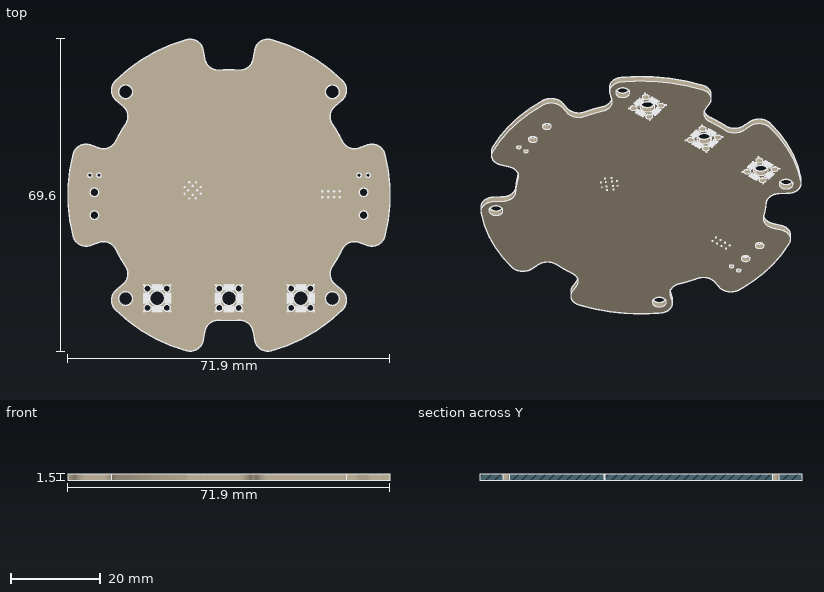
import cadquery as cq
import math

BOARD_RADIUS = 35.95
BOARD_THICKNESS = 1.5
NOTCH_COUNT = 6
NOTCH_FLOOR_RADIUS = 28.0
NOTCH_HALF_ANGLE = 10.0
NOTCH_CORNER_RADIUS = 3.0

MOUNT_HOLE_DIAMETER = 3.0
MOUNT_HOLE_OFFSET = 23.0

CONNECTOR_X = 30.0
PIN_HOLE_DIAMETER = 1.9
PIN_HOLES_Y = (0.65, -4.45)
SMALL_PIN_HOLE_DIAMETER = 0.9
SMALL_PIN_HOLE_SPACING = 2.0
SMALL_PIN_HOLES_Y = 4.45

FOOTPRINT_SPACING = 16.0
FOOTPRINT_Y = -22.95
CENTRE_HOLE_DIAMETER = 3.2
CORNER_HOLE_DIAMETER = 1.5
CORNER_HOLE_OFFSET = 2.15
FIELD_VIA_DIAMETER = 0.2
FIELD_VIA_PITCH = 0.495
FIELD_HALF_WIDTH = 2.95
FIELD_ROW_SPACING = 0.25
FIELD_ROW_COUNTS = (5, 4, 5, 4, 5)

RING_CENTRE = (-8.1, 1.1)
RING_VIA_DIAMETER = 0.2
OUTER_RING_RADIUS = 1.95
OUTER_RING_COUNT = 8
INNER_RING_RADIUS = 1.0
INNER_RING_COUNT = 4

GRID_CENTRE = (22.75, 0.2)
GRID_VIA_DIAMETER = 0.25
GRID_VIA_PITCH = 1.3
GRID_COLUMNS = 4
GRID_ROWS = 2


def polar(radius, angle):
    """Point at a radius and an angle in degrees."""
    return (radius * math.cos(math.radians(angle)), radius * math.sin(math.radians(angle)))


def notched_board():
    """Disc with evenly spaced, rounded notches whose side walls are radial."""
    pitch = 360 / NOTCH_COUNT
    first_notch = pitch / 2
    outline = cq.Workplane("XY").moveTo(*polar(NOTCH_FLOOR_RADIUS, first_notch - NOTCH_HALF_ANGLE))
    for index in range(NOTCH_COUNT):
        notch = first_notch + index * pitch
        notch_end = notch + NOTCH_HALF_ANGLE
        lobe = notch + pitch / 2
        lobe_end = notch + pitch - NOTCH_HALF_ANGLE
        outline = (
            outline
            .threePointArc(polar(NOTCH_FLOOR_RADIUS, notch), polar(NOTCH_FLOOR_RADIUS, notch_end))
            .lineTo(*polar(BOARD_RADIUS, notch_end))
            .threePointArc(polar(BOARD_RADIUS, lobe), polar(BOARD_RADIUS, lobe_end))
            .lineTo(*polar(NOTCH_FLOOR_RADIUS, lobe_end))
        )
    board = outline.close().extrude(BOARD_THICKNESS)
    return board.edges("|Z").fillet(NOTCH_CORNER_RADIUS)


def drills(points, diameter):
    """Cylinders that pass through the whole board at the given points."""
    return cq.Workplane("XY").pushPoints(points).circle(diameter / 2).extrude(BOARD_THICKNESS)


def square_corners(offset):
    """Corners of a square centred on the origin."""
    return [(x, y) for x in (-offset, offset) for y in (-offset, offset)]


def shifted(points, centre):
    """Points moved from the origin to a new centre."""
    return [(x + centre[0], y + centre[1]) for x, y in points]


def ring(radius, count, first_angle):
    """Evenly spaced points on a circle."""
    return [polar(radius, first_angle + index * 360 / count) for index in range(count)]


def field_vias():
    """Staggered rows of vias along each side of the footprint, and one via at each corner."""
    vias = square_corners(FIELD_HALF_WIDTH)
    for row, count in enumerate(FIELD_ROW_COUNTS):
        distance = FIELD_HALF_WIDTH - row * FIELD_ROW_SPACING
        for index in range(count):
            along = (index - (count - 1) / 2) * FIELD_VIA_PITCH
            vias += [(along, distance), (along, -distance), (distance, along), (-distance, along)]
    return vias


result = notched_board()

result = result.cut(drills(square_corners(MOUNT_HOLE_OFFSET), MOUNT_HOLE_DIAMETER))

pin_points = [(x, y) for x in (-CONNECTOR_X, CONNECTOR_X) for y in PIN_HOLES_Y]
small_pin_points = [
    (x + shift * SMALL_PIN_HOLE_SPACING, SMALL_PIN_HOLES_Y)
    for x in (-CONNECTOR_X, CONNECTOR_X)
    for shift in (-0.5, 0.5)
]
result = result.cut(drills(pin_points, PIN_HOLE_DIAMETER))
result = result.cut(drills(small_pin_points, SMALL_PIN_HOLE_DIAMETER))

for position in (-1, 0, 1):
    centre = (position * FOOTPRINT_SPACING, FOOTPRINT_Y)
    result = result.cut(drills([centre], CENTRE_HOLE_DIAMETER))
    result = result.cut(drills(shifted(square_corners(CORNER_HOLE_OFFSET), centre), CORNER_HOLE_DIAMETER))
    result = result.cut(drills(shifted(field_vias(), centre), FIELD_VIA_DIAMETER))

ring_points = ring(OUTER_RING_RADIUS, OUTER_RING_COUNT, 180 / OUTER_RING_COUNT)
ring_points += ring(INNER_RING_RADIUS, INNER_RING_COUNT, 0)
result = result.cut(drills(shifted(ring_points, RING_CENTRE), RING_VIA_DIAMETER))

grid_points = [
    ((column - (GRID_COLUMNS - 1) / 2) * GRID_VIA_PITCH, (row - (GRID_ROWS - 1) / 2) * GRID_VIA_PITCH)
    for column in range(GRID_COLUMNS)
    for row in range(GRID_ROWS)
]
result = result.cut(drills(shifted(grid_points, GRID_CENTRE), GRID_VIA_DIAMETER))